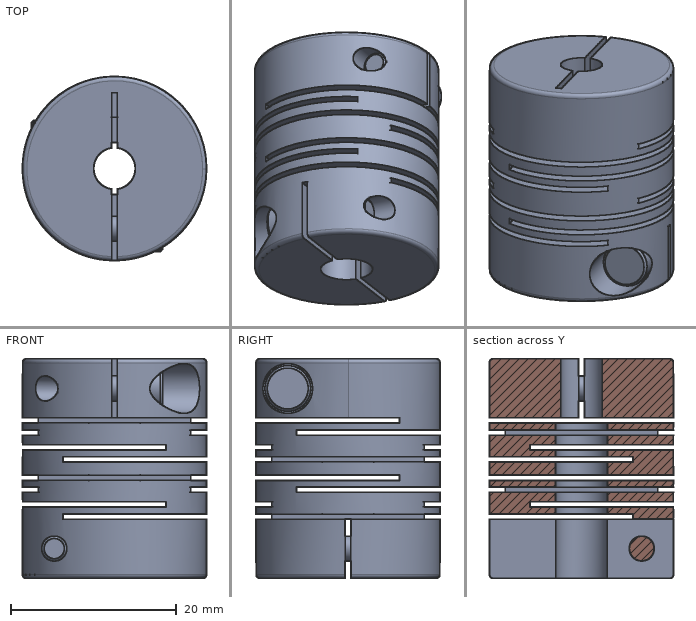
import cadquery as cq

height = 26.5
body_radius = 11.1
edge_round = 0.5
top_bore_radius = 2.5
bottom_bore_radius = 3.13

slot_width = 0.6
slot_reach = 6.2
slot_offsets = [5.8, 4.32, 2.55, 1.1]
slot_angles = [0, 180, 270, 90]
overcut = 1.32

hub_height = height / 2 - slot_offsets[0] - slot_width / 2
slit_width = 0.7
top_slit_end = 9.15
bottom_slit_end = body_radius + overcut

screw_height = 3.6
screw_offset = 7.25
shank_radius = 1.5
shank_tip = -6.85
tip_chamfer = 0.3
counterbore_radius = 3.0
counterbore_floor = 2.8
head_radius = 2.75
head_length = 3.0
head_chamfer = 0.3


def make_body():
    """Round bar with rounded rims and a bore that narrows in the top hub."""
    body = cq.Workplane("XY").circle(body_radius).extrude(height)
    body = body.faces("<Z or >Z").edges().fillet(edge_round)
    bottom_bore = cq.Workplane("XY").circle(bottom_bore_radius).extrude(height - hub_height)
    top_bore = cq.Workplane("XY").circle(top_bore_radius).extrude(height)
    return body.cut(bottom_bore).cut(top_bore)


def slab_from_front(width, end, z_low, z_high):
    """Box that enters from -Y and stops at y = end."""
    start = -body_radius - overcut
    return (
        cq.Workplane("XY")
        .box(width, end - start, z_high - z_low, centered=(True, False, False))
        .translate((0, start, z_low))
    )


def turned(shape, angle):
    """Turn a shape about the coupling axis."""
    return shape.rotate((0, 0, 0), (0, 0, 1), angle)


def flexure_slot(z_centre, angle):
    """Slot that leaves only one segment of the wall standing."""
    full_width = 2 * (body_radius + overcut)
    slot = slab_from_front(full_width, slot_reach, z_centre - slot_width / 2, z_centre + slot_width / 2)
    return turned(slot, angle)


def rod_along_x(radius, start, end):
    """Cylinder on the X axis between two stations."""
    return cq.Workplane("YZ").workplane(offset=start).circle(radius).extrude(end - start)


def placed_on_screw_axis(shape, y, z, angle):
    """Shift a shape from the X axis to a parallel line, then turn it about Z."""
    return turned(shape.translate((0, y, z)), angle)


def screw_hole():
    """Shank hole right across the hub, with a counterbore for the head."""
    side = body_radius + overcut
    hole = rod_along_x(shank_radius, -side, side)
    return hole.union(rod_along_x(counterbore_radius, counterbore_floor, side))


def screw():
    """Cap screw with a chamfered tip and head, seated on the counterbore floor."""
    shank = rod_along_x(shank_radius, shank_tip, counterbore_floor)
    shank = shank.faces("<X").chamfer(tip_chamfer)
    head = rod_along_x(head_radius, counterbore_floor, counterbore_floor + head_length)
    head = head.faces(">X").chamfer(head_chamfer)
    return shank.union(head)


result = make_body()

slot_heights = [height / 2 + offset for offset in slot_offsets]
slot_heights += [height / 2 - offset for offset in reversed(slot_offsets)]
for index, z_centre in enumerate(slot_heights):
    result = result.cut(flexure_slot(z_centre, slot_angles[index % len(slot_angles)]))

top_slit = slab_from_front(slit_width, top_slit_end, height - hub_height, height + overcut)
bottom_slit = slab_from_front(slit_width, bottom_slit_end, -overcut, hub_height)
result = result.cut(top_slit).cut(turned(bottom_slit, 90))

for y, z, angle in [(-screw_offset, height - screw_height, 0), (screw_offset, screw_height, 90)]:
    result = result.cut(placed_on_screw_axis(screw_hole(), y, z, angle))
    result = result.union(placed_on_screw_axis(screw(), y, z, angle))